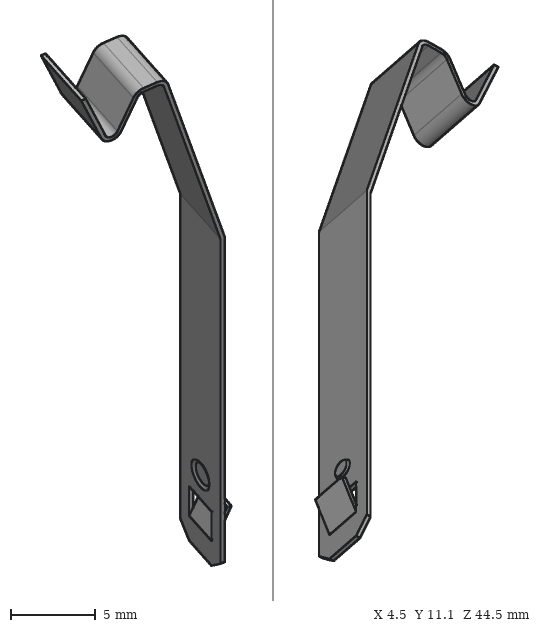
import cadquery as cq
import math

width = 4.5
thickness = 0.3
overall_height = 44.53
overall_depth = 11.11
foot_chamfer = 1.0

knee_height = 28.0
lean_angle = math.radians(15)
crest_height = 43.3
crest_length = 2.05
descent_angle = math.radians(27)
lip_angle = math.radians(20)
lip_edge = thickness / math.cos(lip_angle)
crest_inner_radius = 0.5
valley_inner_radius = 0.45

window_size = 2.5
window_bottom = 2.0
tab_length = window_size
tab_angle = math.radians(26)
tab_end_tilt = math.radians(15)
tab_reach = tab_length * math.sin(tab_angle)

dimple_height = 6.5
dimple_mouth_diameter = 2.0
dimple_floor_diameter = 1.5
dimple_depth = 0.15
boss_base_diameter = 1.3
boss_tip_diameter = 1.1


def offset_corner(before, corner, after):
    """Move a corner of the path sideways so that both its legs shift by the sheet thickness."""
    heading_in = math.atan2(corner[1] - before[1], corner[0] - before[0])
    heading_out = math.atan2(after[1] - corner[1], after[0] - corner[0])
    half_turn = math.remainder(heading_out - heading_in, 2 * math.pi) / 2
    side = heading_in + half_turn + math.pi / 2
    reach = thickness / math.cos(half_turn)
    return (corner[0] + reach * math.cos(side), corner[1] + reach * math.sin(side))


def strip_corners():
    """Sharp (y, z) corners of the back and upper face, from the foot to the lip's end."""
    crest_start = -(crest_height - knee_height) * math.tan(lean_angle)
    crest_end = crest_start - crest_length
    lip_y = tab_reach - overall_depth + lip_edge
    descent_slope = 1 / math.tan(descent_angle)
    lip_slope = 1 / math.tan(lip_angle)
    valley_y = (
        overall_height - crest_height + descent_slope * crest_end + lip_slope * lip_y
    ) / (descent_slope + lip_slope)
    valley_z = crest_height + descent_slope * (valley_y - crest_end)
    return [
        (0, 0),
        (0, knee_height),
        (crest_start, crest_height),
        (crest_end, crest_height),
        (valley_y, valley_z),
        (lip_y, overall_height),
    ]


def round_edge(strip, corner, radius):
    """Fillet the edge that runs across the strip at a (y, z) corner."""
    y, z = corner
    return strip.edges(cq.selectors.NearestToPointSelector((0, y, z))).fillet(radius)


def make_strip():
    """Bent strip of constant thickness with a square foot."""
    back = strip_corners()
    corners = list(zip(back, back[1:], back[2:]))
    front = [offset_corner(*corner) for corner in corners]
    foot = (-thickness, 0)
    lip_end = (back[-1][0] - lip_edge, overall_height)
    outline = back + [lip_end] + front[::-1] + [foot]
    strip = cq.Workplane("YZ").polyline(outline).close().extrude(width / 2, both=True)

    bends = [
        (front[1], back[2], crest_inner_radius),
        (front[2], back[3], crest_inner_radius),
        (back[4], front[3], valley_inner_radius),
    ]
    for inner_corner, outer_corner, inner_radius in bends:
        strip = round_edge(strip, inner_corner, inner_radius)
        strip = round_edge(strip, outer_corner, inner_radius + thickness)
    return strip


def make_foot_corner(side):
    """Triangular prism that trims one lower corner of the strip; side is -1 or 1."""
    edge = side * width / 2
    return (
        cq.Workplane("XZ")
        .polyline([(edge, 0), (edge, foot_chamfer), (edge - side * foot_chamfer, 0)])
        .close()
        .extrude(thickness)
    )


def make_window():
    """Square opening through the sheet."""
    return cq.Workplane("XY").box(
        window_size, thickness, window_size, centered=(True, False, False)
    ).translate((0, -thickness, window_bottom))


def make_tab():
    """Tongue hinged on the window's lower edge and bent out behind the sheet."""
    along_y = math.sin(tab_angle)
    along_z = math.cos(tab_angle)
    end_z = window_bottom + tab_length * along_z
    end_edge = thickness / math.cos(tab_angle - tab_end_tilt)
    inner_face_z = window_bottom + thickness * (1 - along_z) / along_y
    outline = [
        (-thickness, window_bottom),
        (0, window_bottom),
        (tab_reach, end_z),
        (tab_reach - end_edge * math.cos(tab_end_tilt), end_z + end_edge * math.sin(tab_end_tilt)),
        (-thickness, inner_face_z),
    ]
    return cq.Workplane("YZ").polyline(outline).close().extrude(window_size / 2, both=True)


def make_dimple_cone(front_diameter, back_diameter, front_y, depth):
    """Cone frustum along +Y at the dimple's centre, starting at front_y."""
    return cq.Workplane(
        cq.Solid.makeCone(
            front_diameter / 2,
            back_diameter / 2,
            depth,
            pnt=cq.Vector(0, front_y, dimple_height),
            dir=cq.Vector(0, 1, 0),
        )
    )


strip = make_strip()
for side in (-1, 1):
    strip = strip.cut(make_foot_corner(side))
strip = strip.cut(make_window()).union(make_tab())
boss = make_dimple_cone(boss_base_diameter, boss_tip_diameter, 0, dimple_depth)
recess = make_dimple_cone(dimple_mouth_diameter, dimple_floor_diameter, -thickness, dimple_depth)
result = strip.union(boss).cut(recess)